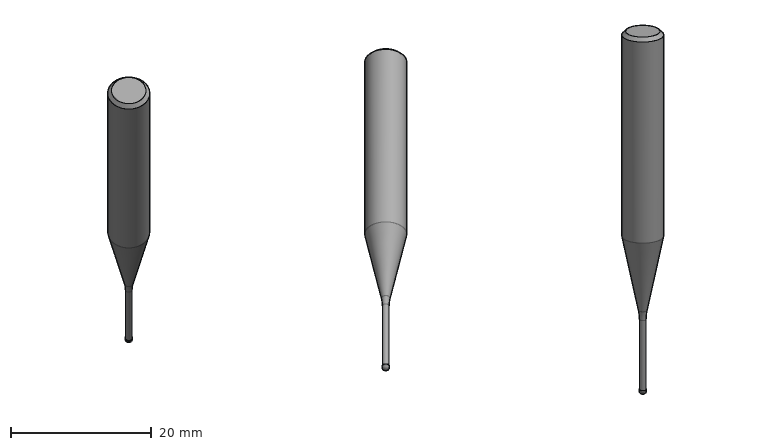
import cadquery as cq
import math

total_length = 55.0
shank_diameter = 6.0
shank_radius = shank_diameter / 2
shank_chamfer = 0.55
shank_bottom = 24.0

neck_radius = 0.5
neck_top = 11.35
flare_height = 1.4

ball_radius = 0.55
head_length = 0.7

flare_top = neck_top + flare_height
cone_height = shank_bottom - flare_top
angle_iterations = 20
cone_angle = 0.0
for _ in range(angle_iterations):
    flare_width = flare_height * math.tan(cone_angle / 2)
    cone_angle = math.atan((shank_radius - neck_radius - flare_width) / cone_height)
flare_radius = flare_height / math.sin(cone_angle)
flare_top_radius = neck_radius + flare_width
flare_middle = (
    neck_radius + flare_radius * (1 - math.cos(cone_angle / 2)),
    neck_top + flare_radius * math.sin(cone_angle / 2),
)


def revolve_about_z(profile):
    """Turn a closed (radius, height) profile into a solid around Z."""
    return profile.close().revolve(360, (0, 0, 0), (0, 1, 0))


def make_shank():
    """Chamfered shank, cone, flare and neck, resting on the cutting head."""
    profile = (
        cq.Workplane("XZ")
        .moveTo(0, head_length)
        .lineTo(neck_radius, head_length)
        .lineTo(neck_radius, neck_top)
        .threePointArc(flare_middle, (flare_top_radius, flare_top))
        .lineTo(shank_radius, shank_bottom)
        .lineTo(shank_radius, total_length - shank_chamfer)
        .lineTo(shank_radius - shank_chamfer, total_length)
        .lineTo(0, total_length)
    )
    return revolve_about_z(profile)


def make_cutting_head():
    """Hemispherical tip with a short cylindrical land above it."""
    arc_middle = (
        ball_radius * math.sin(math.pi / 4),
        ball_radius * (1 - math.cos(math.pi / 4)),
    )
    profile = (
        cq.Workplane("XZ")
        .moveTo(0, 0)
        .threePointArc(arc_middle, (ball_radius, ball_radius))
        .lineTo(ball_radius, head_length)
        .lineTo(0, head_length)
    )
    return revolve_about_z(profile)


shank = make_shank()
cutting_head = make_cutting_head()
result = cq.Compound.makeCompound([shank.val(), cutting_head.val()])